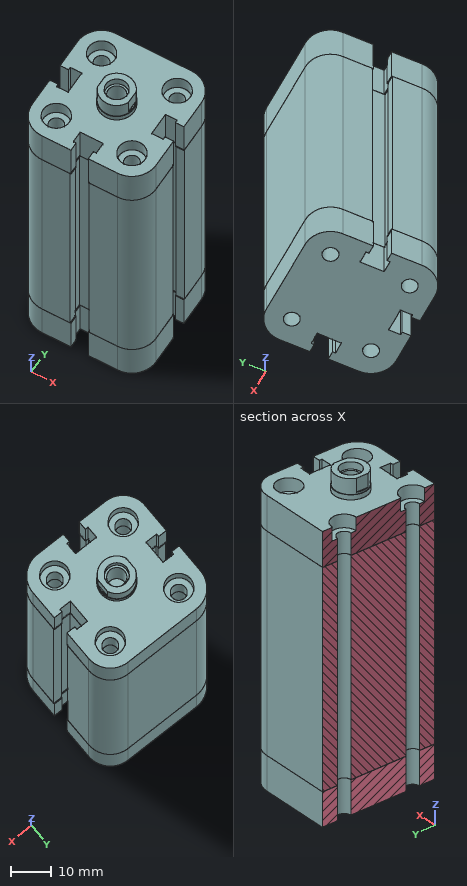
import cadquery as cq

total_height = 93.0
side = 36.0
cap_height = 10.5
rod_projection = 6.1
block_height = total_height - rod_projection
barrel_height = block_height - 2 * cap_height
top_cap_base = cap_height + barrel_height

screw_spacing = 21.95
screw_hole_diameter = 4.2
screw_head_diameter = 7.5
screw_head_depth = 4.0
corner_radius = (side - screw_spacing) / 2

slot_depth = 5.9
slot_lip = 2.5
slot_undercut = 0.8
cap_slot_opening = 5.0
barrel_slot_opening = 5.5
slot_face_angles = (-90, 0, 90)

rod_diameter = 10.0
rod_collar_height = 1.5
rod_tip_diameter = 9.8
rod_tip_height = rod_projection - rod_collar_height
flat_width = 9.0
flat_height = 4.1
socket_diameter = 5.0
socket_depth = 12.0
socket_mouth_diameter = 6.2
socket_mouth_depth = 2.1


def disc(diameter, height, base):
    """Upright cylinder on the block axis, starting at height base."""
    return cq.Workplane("XY").workplane(offset=base).circle(diameter / 2).extrude(height)


def t_slot(opening, height):
    """T-shaped cutter for the -Y face."""
    outer_face = -side / 2
    half_opening = opening / 2
    half_width = half_opening + slot_undercut
    lip_end = outer_face + slot_lip
    floor = outer_face + slot_depth
    return (
        cq.Workplane("XY")
        .moveTo(-half_opening, outer_face)
        .lineTo(half_opening, outer_face)
        .lineTo(half_opening, lip_end)
        .lineTo(half_width, lip_end)
        .lineTo(half_width, floor)
        .lineTo(-half_width, floor)
        .lineTo(-half_width, lip_end)
        .lineTo(-half_opening, lip_end)
        .close()
        .extrude(height)
    )


def slotted_block(height, slot_opening, base):
    """Rounded square block with T-slots and tie-screw holes, starting at height base."""
    block = cq.Workplane("XY").rect(side, side).extrude(height).edges("|Z").fillet(corner_radius)
    cutter = t_slot(slot_opening, height)
    for angle in slot_face_angles:
        block = block.cut(cutter.rotate((0, 0, 0), (0, 0, 1), angle))
    holes = (
        cq.Workplane("XY")
        .rect(screw_spacing, screw_spacing, forConstruction=True)
        .vertices()
        .circle(screw_hole_diameter / 2)
        .extrude(height)
    )
    return block.cut(holes).translate((0, 0, base))


def make_bottom_cap():
    return slotted_block(cap_height, cap_slot_opening, 0)


def make_barrel():
    return slotted_block(barrel_height, barrel_slot_opening, cap_height)


def make_top_cap():
    """End cap with screw-head counterbores and a bore that guides the rod."""
    cap = slotted_block(cap_height, cap_slot_opening, top_cap_base)
    counterbores = (
        cq.Workplane("XY")
        .workplane(offset=block_height - screw_head_depth)
        .rect(screw_spacing, screw_spacing, forConstruction=True)
        .vertices()
        .circle(screw_head_diameter / 2)
        .extrude(screw_head_depth)
    )
    return cap.cut(counterbores).cut(disc(rod_diameter, cap_height, top_cap_base))


def make_piston_rod():
    """Rod standing on the barrel and passing through the top cap."""
    shank_height = cap_height + rod_collar_height
    tip_base = top_cap_base + shank_height
    shank = disc(rod_diameter, shank_height, top_cap_base)
    tip = disc(rod_tip_diameter, rod_tip_height, tip_base)

    flat_base = total_height - flat_height
    for side_sign in (-1, 1):
        beyond_flat = (
            cq.Workplane("XY")
            .workplane(offset=flat_base)
            .center(side_sign * (flat_width + rod_diameter) / 2, 0)
            .rect(rod_diameter, rod_diameter)
            .extrude(flat_height)
        )
        tip = tip.cut(beyond_flat)

    socket = disc(socket_diameter, socket_depth, total_height - socket_depth)
    socket_mouth = disc(socket_mouth_diameter, socket_mouth_depth, total_height - socket_mouth_depth)
    return shank.union(tip).cut(socket).cut(socket_mouth)


bottom_cap = make_bottom_cap().solids()
barrel = make_barrel().solids()
top_cap = make_top_cap().solids()
piston_rod = make_piston_rod().solids()

result = cq.Compound.makeCompound([bottom_cap.val(), barrel.val(), top_cap.val(), piston_rod.val()])